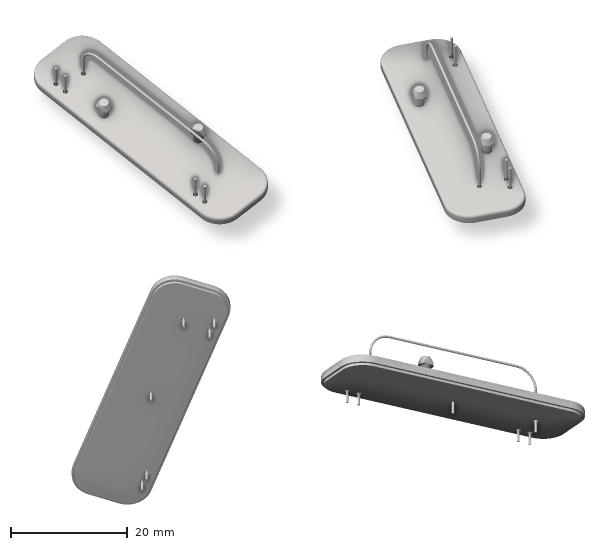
import cadquery as cq

plate_length = 47.65
plate_width = 14.2
plate_thickness = 1.9
plate_corner_radius = 4.35
top_fillet = 0.45
step_height = 0.45
step_inset = 0.5

wire_diameter = 0.45
bottom_drop = 2.15
clearance_diameter = 0.9

pin_top = 6.2
pin_y = -4.95
outer_pin_x = 18.1
inner_pin_x = 15.8
pin_spots = [(x, pin_y) for x in (-outer_pin_x, -inner_pin_x, inner_pin_x, outer_pin_x)]

antenna_half_span = 16.4
antenna_bend_radius = 3.75
antenna_axis_top = 9.4
antenna_free_end = 4.05
antenna_spot = (-antenna_half_span, 0)

post_spots = [(-7.62, -3.8), (7.62, 3.8)]
shaft_diameter = 1.75
head_base = 3.6
head_top = 5.2
head_rim_height = 0.45
head_rim_diameter = 2.7
head_tip_diameter = 1.65
head_width_over_flats = 2.05


def rounded_slab(length, width, corner_radius, height):
    return cq.Workplane("XY").rect(length, width).extrude(height).edges("|Z").fillet(corner_radius)


def make_plate():
    upper_height = plate_thickness - step_height
    upper = rounded_slab(plate_length, plate_width, plate_corner_radius, upper_height)
    upper = upper.faces(">Z").edges().fillet(top_fillet).translate((0, 0, step_height))
    lower = rounded_slab(
        plate_length - 2 * step_inset,
        plate_width - 2 * step_inset,
        plate_corner_radius - step_inset,
        step_height,
    )
    clearance_holes = (
        cq.Workplane("XY")
        .pushPoints(pin_spots + [antenna_spot])
        .circle(clearance_diameter / 2)
        .extrude(plate_thickness)
    )
    return upper.union(lower).cut(clearance_holes)


def make_straight_pin(x, y, top):
    pin = cq.Workplane("XY").circle(wire_diameter / 2).extrude(bottom_drop + top)
    return pin.translate((x, y, -bottom_drop))


def make_antenna():
    bend_start = antenna_axis_top - antenna_bend_radius
    span_end = antenna_half_span - antenna_bend_radius
    path = (
        cq.Workplane("XZ")
        .moveTo(-antenna_half_span, -bottom_drop)
        .lineTo(-antenna_half_span, bend_start)
        .radiusArc((-span_end, antenna_axis_top), antenna_bend_radius)
        .lineTo(span_end, antenna_axis_top)
        .radiusArc((antenna_half_span, bend_start), antenna_bend_radius)
        .lineTo(antenna_half_span, antenna_free_end)
    )
    section = cq.Workplane("XY", origin=(-antenna_half_span, 0, -bottom_drop)).circle(wire_diameter / 2)
    return section.sweep(path)


def make_post(x, y):
    head_profile = [
        (0, head_base),
        (head_rim_diameter / 2, head_base),
        (head_rim_diameter / 2, head_base + head_rim_height),
        (head_tip_diameter / 2, head_top),
        (0, head_top),
    ]
    head = cq.Workplane("XZ").polyline(head_profile).close().revolve(360, (0, 0), (0, 1))
    flats = cq.Workplane("XY").rect(head_rim_diameter, head_width_over_flats).extrude(head_top)
    shaft = (
        cq.Workplane("XY", origin=(0, 0, plate_thickness))
        .circle(shaft_diameter / 2)
        .extrude(head_base - plate_thickness)
    )
    return shaft.union(head.intersect(flats)).translate((x, y, 0))


plate = make_plate()
pins = [make_straight_pin(x, y, pin_top) for x, y in pin_spots]
antenna = make_antenna()
ground_pin = make_straight_pin(0, 0, 0)
posts = [make_post(x, y) for x, y in post_spots]

result = cq.Compound.makeCompound(
    [plate.val(), antenna.val(), ground_pin.val()]
    + [pin.val() for pin in pins]
    + [post.val() for post in posts]
)